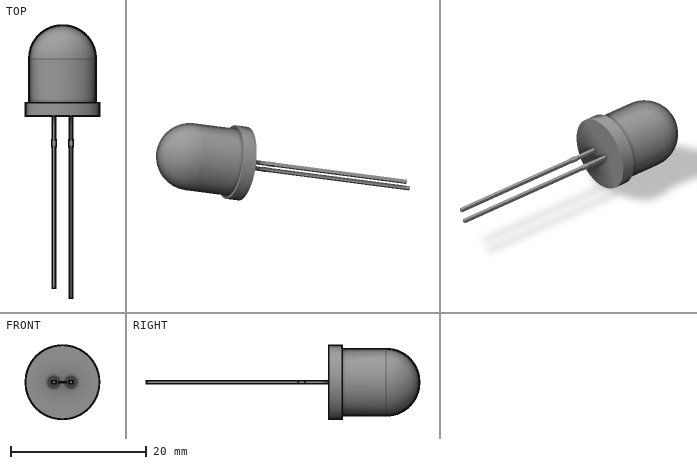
import cadquery as cq


lens_radius = 5.0
lens_height = 13.5
flange_radius = 5.5
flange_thickness = 2.0
dome_base = lens_height - lens_radius

lead_pitch = 2.54
lead_width = 0.5
lead_thickness = 0.5
short_lead_length = 25.5
long_lead_length = 27.0

collar_width = 0.7
collar_length = 1.0
collar_start = 3.5

slit_length = 1.1
slit_width = 0.15
slit_depth = 0.1


def make_lens():
    """Flange, cylinder and hemispherical dome, revolved about Y."""
    dome_middle = lens_radius * 0.5 ** 0.5
    return (
        cq.Workplane("XY")
        .lineTo(flange_radius, 0)
        .lineTo(flange_radius, flange_thickness)
        .lineTo(lens_radius, flange_thickness)
        .lineTo(lens_radius, dome_base)
        .threePointArc((dome_middle, dome_base + dome_middle), (0, lens_height))
        .close()
        .revolve(360, (0, 0), (0, 1))
    )


def make_bar(center_x, width, start, length):
    """Rectangular bar of lead stock running toward -Y, from a distance below the flange."""
    return (
        cq.Workplane("XY")
        .box(width, length, lead_thickness)
        .translate((center_x, -start - length / 2, 0))
    )


def make_lead(center_x, length):
    """Straight lead with its standoff collar."""
    lead = make_bar(center_x, lead_width, 0, length)
    collar = make_bar(center_x, collar_width, collar_start, collar_length)
    return lead.union(collar)


def make_slit():
    """Cutter for the slit, rising from the flange underside."""
    return (
        cq.Workplane("XY")
        .box(slit_length, slit_depth, slit_width)
        .translate((0, slit_depth / 2, 0))
    )


result = make_lens().cut(make_slit())
result = result.union(make_lead(-lead_pitch / 2, short_lead_length))
result = result.union(make_lead(lead_pitch / 2, long_lead_length))